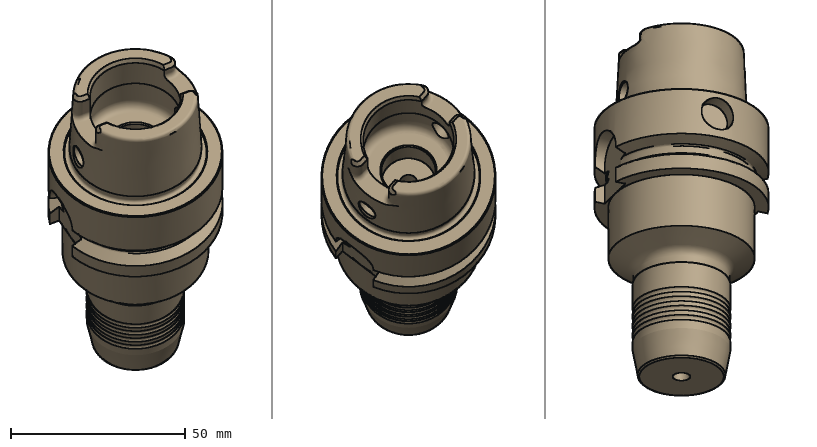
import cadquery as cq
import math


taper_length = 24.9
taper_tip_radius = 17.85
taper_slope = 1 / 20
taper_base_z = 2.0
taper_tip_round = 1.0
neck_radius = 18.85
neck_top_z = 1.5
face_recess_depth = 0.3
face_recess_radius = 20.65
neck_fillet = 0.8

flange_radius = 25.0
flange_width = 25.7
flange_edge_chamfer = 0.3
groove_floor_radius = 21.4
groove_upper_edge_z = -14.5
groove_lower_edge_z = -21.15
groove_flank_height = 1.85
groove_fillet = 0.6

overall_length = 104.9
nose_z = taper_length - overall_length
body_radius = 21.0
body_end_z = -42.1
cone_angle = 30.0
relief_radius = 13.8
relief_fillet = 3.0
relief_end_z = -50.1
nose_radius = 14.05
nose_taper_z = -71.5
nose_tip_radius = 12.6
nose_chamfer = 0.5

ring_count = 4
ring_pitch = 3.0
ring_width = 1.55
ring_depth = 0.35
first_ring_z = -59.0

mouth_radius = 13.7
mouth_chamfer_height = 1.25
bore_radius = 13.0
bore_depth = 10.0
cavity_radius = 14.5
cavity_depth = 21.2
cavity_flank_angle = 60.0
cavity_fillet = 2.6
thread_radius = 7.75
thread_chamfer = 0.4
thread_depth = 8.0
coolant_radius = 2.5

drive_half_width = 5.15
drive_corner_y = 14.2
drive_corner_round = 2.07
drive_flare_angle = 24.0
drive_floor_fillet = 1.5
drive_edge_chamfer = 1.1
drive_front_floor_z = 16.9
drive_back_floor_z = 20.4
drive_inner_y = 5.0

cross_hole_radius = 3.0
cross_hole_z = 7.5
cross_sink_start_y = 18.27
cross_sink_depth = 1.2

flange_slot_half_width = 7.0
flange_slot_flat_y = 21.0
flange_slot_arc_z = -13.85
chip_hole_radius = 5.0
chip_hole_z = -7.0
chip_hole_depth = 4.6

clearance = 5.0


def fillet_arc(before, corner, after, radius):
    """Start, middle and end of the arc that rounds a corner between two straight lines."""
    corner_point = cq.Vector(*corner)
    to_before = (cq.Vector(*before) - corner_point).normalized()
    to_after = (cq.Vector(*after) - corner_point).normalized()
    bisector = (to_before + to_after).normalized()
    half_angle = to_before.getAngle(to_after) / 2
    tangent_length = radius / math.tan(half_angle)
    mid_distance = radius / math.sin(half_angle) - radius
    points = (
        corner_point + to_before * tangent_length,
        corner_point + bisector * mid_distance,
        corner_point + to_after * tangent_length,
    )
    return [(point.x, point.y) for point in points]


def make_body():
    taper_base_radius = taper_tip_radius + taper_slope * (taper_length - taper_base_z)
    recess_z = -face_recess_depth
    cone_end_z = body_end_z - (body_radius - relief_radius) * math.tan(math.radians(cone_angle))
    cone_end = (relief_radius, cone_end_z)
    relief_end = (relief_radius, relief_end_z)
    relief_arc = fillet_arc((body_radius, body_end_z), cone_end, relief_end, relief_fillet)
    round_low_z = taper_length - taper_tip_round
    round_drop = taper_tip_round * (1 - math.sqrt(0.5))
    neck_top = (neck_radius, neck_top_z)
    recess_edge = (face_recess_radius - face_recess_depth, recess_z)
    neck_arc = fillet_arc(neck_top, (neck_radius, recess_z), recess_edge, neck_fillet)
    groove_top_edge = (flange_radius, groove_upper_edge_z)
    groove_top = (groove_floor_radius, groove_upper_edge_z - groove_flank_height)
    groove_bottom_edge = (flange_radius, groove_lower_edge_z)
    groove_bottom = (groove_floor_radius, groove_lower_edge_z + groove_flank_height)
    groove_top_arc = fillet_arc(groove_top_edge, groove_top, groove_bottom, groove_fillet)
    groove_bottom_arc = fillet_arc(groove_top, groove_bottom, groove_bottom_edge, groove_fillet)
    nose_step = nose_radius - relief_radius

    outline = (
        cq.Workplane("XZ")
        .moveTo(0, taper_length)
        .lineTo(taper_tip_radius - taper_tip_round, taper_length)
        .threePointArc(
            (taper_tip_radius - round_drop, taper_length - round_drop),
            (taper_tip_radius + taper_slope * taper_tip_round, round_low_z),
        )
        .lineTo(taper_base_radius, taper_base_z)
        .lineTo(*neck_top)
        .lineTo(*neck_arc[0])
        .threePointArc(*neck_arc[1:])
        .lineTo(*recess_edge)
        .lineTo(face_recess_radius, 0)
        .lineTo(flange_radius - flange_edge_chamfer, 0)
        .lineTo(flange_radius, -flange_edge_chamfer)
        .lineTo(*groove_top_edge)
        .lineTo(*groove_top_arc[0])
        .threePointArc(*groove_top_arc[1:])
        .lineTo(*groove_bottom_arc[0])
        .threePointArc(*groove_bottom_arc[1:])
        .lineTo(*groove_bottom_edge)
        .lineTo(flange_radius, -flange_width)
        .lineTo(body_radius, -flange_width)
        .lineTo(body_radius, body_end_z)
        .lineTo(*relief_arc[0])
        .threePointArc(*relief_arc[1:])
        .lineTo(*relief_end)
        .lineTo(nose_radius, relief_end_z - nose_step)
    )
    for ring in range(ring_count):
        ring_z = first_ring_z - ring * ring_pitch
        outline = outline.lineTo(nose_radius, ring_z + ring_width / 2).threePointArc(
            (nose_radius - ring_depth, ring_z), (nose_radius, ring_z - ring_width / 2)
        )
    outline = (
        outline.lineTo(nose_radius, nose_taper_z)
        .lineTo(nose_tip_radius, nose_z + nose_chamfer)
        .lineTo(nose_tip_radius - nose_chamfer, nose_z)
        .lineTo(0, nose_z)
        .close()
    )
    return outline.revolve(360, (0, 0, 0), (0, 1, 0))


def make_bore():
    bore_end_z = taper_length - bore_depth
    flank_height = (cavity_radius - bore_radius) / math.tan(math.radians(cavity_flank_angle))
    cavity_floor_z = taper_length - cavity_depth
    cavity_top = (cavity_radius, bore_end_z - flank_height)
    cavity_corner = (cavity_radius, cavity_floor_z)
    thread_mouth = (thread_radius + thread_chamfer, cavity_floor_z)
    cavity_arc = fillet_arc(cavity_top, cavity_corner, thread_mouth, cavity_fillet)
    thread_floor_z = cavity_floor_z - thread_depth
    return (
        cq.Workplane("XZ")
        .moveTo(0, taper_length)
        .lineTo(mouth_radius, taper_length)
        .lineTo(bore_radius, taper_length - mouth_chamfer_height)
        .lineTo(bore_radius, bore_end_z)
        .lineTo(*cavity_top)
        .lineTo(*cavity_arc[0])
        .threePointArc(*cavity_arc[1:])
        .lineTo(*thread_mouth)
        .lineTo(thread_radius, cavity_floor_z - thread_chamfer)
        .lineTo(thread_radius, thread_floor_z)
        .lineTo(coolant_radius, thread_floor_z)
        .lineTo(coolant_radius, nose_z)
        .lineTo(0, nose_z)
        .close()
        .revolve(360, (0, 0, 0), (0, 1, 0))
    )


def drive_slot_outline(base_z, flare_angle):
    """Plan of a straight slot whose walls curve outwards and sweep back beyond the corner rounds."""
    half = drive_half_width
    corner = drive_corner_round
    flare = math.radians(flare_angle)
    center_x = half + corner
    mid_angle = (math.pi + math.pi / 2 - flare) / 2
    mid_x = center_x + corner * math.cos(mid_angle)
    mid_y = drive_corner_y + corner * math.sin(mid_angle)
    end_x = center_x + corner * math.sin(flare)
    end_y = drive_corner_y + corner * math.cos(flare)
    outer = flange_radius
    outer_flare_y = end_y - (outer - end_x) * math.tan(flare)
    return (
        cq.Workplane("XY", origin=(0, 0, base_z))
        .moveTo(-half, drive_inner_y)
        .lineTo(half, drive_inner_y)
        .lineTo(half, drive_corner_y)
        .threePointArc((mid_x, mid_y), (end_x, end_y))
        .lineTo(outer, outer_flare_y)
        .lineTo(outer, outer)
        .lineTo(-outer, outer)
        .lineTo(-outer, outer_flare_y)
        .lineTo(-end_x, end_y)
        .threePointArc((-mid_x, mid_y), (-half, drive_corner_y))
        .close()
    )


def make_drive_slot(floor_z):
    """Slot on the +Y side with a filleted floor and chamfered upper edges."""
    slot = drive_slot_outline(floor_z, drive_flare_angle).extrude(taper_length + clearance - floor_z)
    slot = slot.faces("<Z").edges().fillet(drive_floor_fillet)
    chamfer_z = taper_length - drive_edge_chamfer
    edge_cut = drive_slot_outline(chamfer_z, 0).extrude(drive_edge_chamfer, taper=-45)
    return slot.union(edge_cut)


def make_cross_hole():
    """Hole along Y, countersunk at 45 degrees where it leaves the taper."""
    sink_end_y = cross_sink_start_y + cross_sink_depth
    sink_end_radius = cross_hole_radius + cross_sink_depth
    return (
        cq.Workplane("XY")
        .moveTo(0, -sink_end_y)
        .lineTo(sink_end_radius, -sink_end_y)
        .lineTo(cross_hole_radius, -cross_sink_start_y)
        .lineTo(cross_hole_radius, cross_sink_start_y)
        .lineTo(sink_end_radius, sink_end_y)
        .lineTo(0, sink_end_y)
        .close()
        .revolve(360, (0, 0, 0), (0, 1, 0))
        .translate((0, 0, cross_hole_z))
    )


def make_flange_slot():
    """Round-topped slot on the +Y side, open at the lower flange face."""
    half = flange_slot_half_width
    return (
        cq.Workplane("XZ", origin=(0, flange_slot_flat_y, 0))
        .moveTo(-half, -flange_width)
        .lineTo(half, -flange_width)
        .lineTo(half, flange_slot_arc_z)
        .threePointArc((0, flange_slot_arc_z + half), (-half, flange_slot_arc_z))
        .close()
        .extrude(-clearance)
    )


def make_chip_hole():
    """Blind flat-bottomed hole in the -X side of the flange."""
    return (
        cq.Workplane("YZ", origin=(-flange_radius, 0, chip_hole_z))
        .circle(chip_hole_radius)
        .extrude(chip_hole_depth)
    )


def on_front(feature):
    return feature.rotate((0, 0, 0), (0, 0, 1), 180)


result = (
    make_body()
    .cut(make_bore())
    .cut(on_front(make_drive_slot(drive_front_floor_z)))
    .cut(make_drive_slot(drive_back_floor_z))
    .cut(make_cross_hole())
    .cut(make_flange_slot())
    .cut(on_front(make_flange_slot()))
    .cut(make_chip_hole())
)